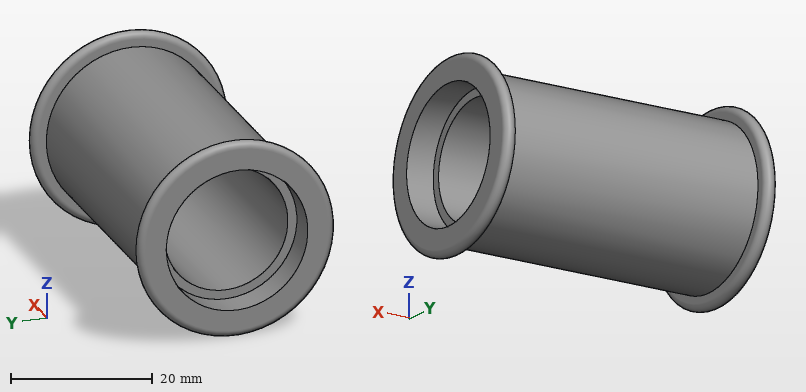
import cadquery as cq

length = 46.0
body_diameter = 25.2
bore_diameter = 18.5
flange_diameter = 29.5
flange_width = 2.0
counterbore_diameter = 21.2
counterbore_depth = 4.5

half_length = length / 2


def cylinder_along_x(diameter, start_x, cylinder_length):
    """Solid cylinder on the X axis, running toward +X from start_x."""
    return (
        cq.Workplane("YZ", origin=(start_x, 0, 0))
        .circle(diameter / 2)
        .extrude(cylinder_length)
    )


def flange(start_x):
    """End flange whose rim is a full half-round."""
    end_x = start_x + flange_width
    rim_radius = flange_diameter / 2
    flat_radius = rim_radius - flange_width / 2
    return (
        cq.Workplane("XY")
        .moveTo(start_x, 0)
        .lineTo(start_x, flat_radius)
        .threePointArc((start_x + flange_width / 2, rim_radius), (end_x, flat_radius))
        .lineTo(end_x, 0)
        .close()
        .revolve(360, (0, 0, 0), (1, 0, 0))
    )


result = cylinder_along_x(body_diameter, -half_length, length)
for start_x in (-half_length, half_length - flange_width):
    result = result.union(flange(start_x))

result = result.cut(cylinder_along_x(bore_diameter, -half_length, length))

for start_x in (-half_length, half_length - counterbore_depth):
    result = result.cut(cylinder_along_x(counterbore_diameter, start_x, counterbore_depth))